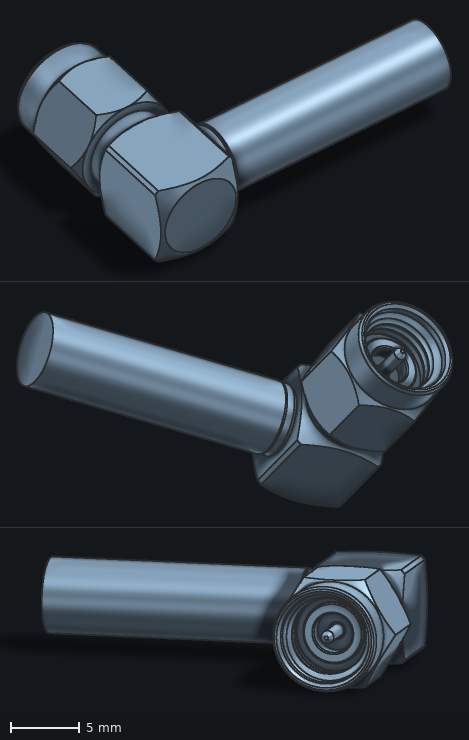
import cadquery as cq
import math

TAN30 = math.tan(math.radians(30))

TOTAL_LENGTH = 17.5
HEX_START = 2.42
HEX_END = 8.35
BLOCK_START = 9.6

HEX_FLATS = 8.0
HEX_CORNER_RADIUS = HEX_FLATS / 2 / math.cos(math.radians(30))
SHELL_RADIUS = 3.9
LIP_CHAMFER_LENGTH = 0.25
LIP_RADIUS = SHELL_RADIUS - LIP_CHAMFER_LENGTH * TAN30

MOUTH_RADIUS = 3.58
BORE_RADIUS = 3.33
BORE_END = 0.8
CAVITY_FLOOR = 3.18
THREAD_MINOR_RADIUS = 2.79
THREAD_DEPTH = 0.48
THREAD_PITCH = 0.7
THREAD_START = 0.25
THREAD_TURNS = 5
GROOVE_OVERCUT = 0.05
WEB_RADIUS = THREAD_MINOR_RADIUS + THREAD_DEPTH + GROOVE_OVERCUT

BARREL_RADIUS = 2.27
BARREL_BORE_RADIUS = 1.45
BARREL_CHAMFER = 0.1
BARREL_FRONT = 2.7
BARREL_BORE_FLOOR = 3.98
PIN_RADIUS = 0.48
PIN_TIP_RADIUS = 0.15
PIN_FRONT = 0.68
PIN_TIP_LENGTH = 0.4
PIN_RECESS_RADIUS = 0.65
PIN_RECESS_DEPTH = 0.15
PIN_RECESS_CHAMFER = 0.09

NECK_RADIUS = 3.25
BLOCK_SIDE = 6.95
BLOCK_EDGE_CHAMFER = 0.28
BLOCK_END_RADIUS = 3.2

OUTLET_X = 13.13
COLLAR_RADIUS = 2.75
COLLAR_END_RADIUS = 2.6
COLLAR_NECK_CONE = 0.28
COLLAR_SLEEVE_CONE = 0.17
SLEEVE_START = 4.52
SLEEVE_RADIUS = 2.8
SLEEVE_END = 28.42 - HEX_CORNER_RADIUS


def revolve_about_x(profile):
    """Turn a closed list of (x, radius) points about the connector axis."""
    return cq.Workplane("XY").polyline(profile).close().revolve(360, (0, 0), (1, 0))


def coned_bar_limit(start, end, start_radius, end_radius, start_slope, end_slope, reach):
    """Turned envelope whose two ends are cones that open out to the radius `reach`."""
    return revolve_about_x([
        (start, 0),
        (start, start_radius),
        (start + (reach - start_radius) * start_slope, reach),
        (end - (reach - end_radius) * end_slope, reach),
        (end, end_radius),
        (end, 0),
    ])


def make_nut_outside():
    shell = revolve_about_x([
        (0, 0),
        (0, LIP_RADIUS),
        (LIP_CHAMFER_LENGTH, SHELL_RADIUS),
        (HEX_START, SHELL_RADIUS),
        (HEX_START, 0),
    ])
    hexagon = (
        cq.Workplane("YZ", origin=(HEX_START, 0, 0))
        .polygon(6, 2 * HEX_CORNER_RADIUS)
        .extrude(HEX_END - HEX_START)
    )
    cones = coned_bar_limit(
        HEX_START, HEX_END, SHELL_RADIUS, HEX_FLATS / 2, 1, 1, HEX_CORNER_RADIUS + 0.28
    )
    return shell.union(hexagon.intersect(cones))


def make_nut_mouth():
    """Mouth chamfer, plain bore and the cone that leads into the thread."""
    lead_in_end = BORE_END + BORE_RADIUS - THREAD_MINOR_RADIUS
    return revolve_about_x([
        (0, 0),
        (0, MOUTH_RADIUS),
        (MOUTH_RADIUS - BORE_RADIUS, BORE_RADIUS),
        (BORE_END, BORE_RADIUS),
        (lead_in_end, THREAD_MINOR_RADIUS),
        (lead_in_end, 0),
    ])


def make_tapping_bore():
    return cq.Workplane("YZ").circle(THREAD_MINOR_RADIUS).extrude(HEX_END)


def make_thread_groove():
    """Right-handed 60 degree V groove, swept along Z, then laid along X."""
    inner_radius = THREAD_MINOR_RADIUS - GROOVE_OVERCUT
    half_width = (THREAD_DEPTH + GROOVE_OVERCUT) * TAN30
    helix = cq.Wire.makeHelix(THREAD_PITCH, THREAD_TURNS * THREAD_PITCH, THREAD_MINOR_RADIUS)
    return (
        cq.Workplane("XZ")
        .polyline([
            (inner_radius, -half_width),
            (THREAD_MINOR_RADIUS + THREAD_DEPTH, 0),
            (inner_radius, half_width),
        ])
        .close()
        .sweep(cq.Workplane(helix), isFrenet=True)
        .rotate((0, 0, 0), (0, 1, 0), 90)
        .translate((THREAD_START, 0, 0))
    )


def make_contact():
    """Web that closes the tapped bore, with the bored barrel and the centre pin standing out of it."""
    root = BARREL_BORE_FLOOR + PIN_RECESS_DEPTH
    return revolve_about_x([
        (PIN_FRONT, 0),
        (PIN_FRONT, PIN_TIP_RADIUS),
        (PIN_FRONT + PIN_TIP_LENGTH, PIN_RADIUS),
        (root, PIN_RADIUS),
        (root, PIN_RECESS_RADIUS - PIN_RECESS_CHAMFER),
        (BARREL_BORE_FLOOR + PIN_RECESS_CHAMFER, PIN_RECESS_RADIUS - PIN_RECESS_CHAMFER),
        (BARREL_BORE_FLOOR, PIN_RECESS_RADIUS),
        (BARREL_BORE_FLOOR, BARREL_BORE_RADIUS),
        (BARREL_FRONT + BARREL_CHAMFER, BARREL_BORE_RADIUS),
        (BARREL_FRONT, BARREL_BORE_RADIUS + BARREL_CHAMFER),
        (BARREL_FRONT, BARREL_RADIUS - BARREL_CHAMFER),
        (BARREL_FRONT + BARREL_CHAMFER, BARREL_RADIUS),
        (CAVITY_FLOOR, BARREL_RADIUS),
        (CAVITY_FLOOR, WEB_RADIUS),
        (HEX_END, WEB_RADIUS),
        (HEX_END, 0),
    ])


def make_block():
    length = TOTAL_LENGTH - BLOCK_START
    block = (
        cq.Workplane("YZ", origin=(BLOCK_START, 0, 0))
        .rect(BLOCK_SIDE, BLOCK_SIDE)
        .extrude(length)
        .edges("|X")
        .chamfer(BLOCK_EDGE_CHAMFER)
    )
    cones = coned_bar_limit(
        BLOCK_START, TOTAL_LENGTH, BLOCK_END_RADIUS, BLOCK_END_RADIUS, TAN30, TAN30, BLOCK_SIDE
    )
    return block.intersect(cones)


def make_neck():
    return cq.Workplane("YZ", origin=(HEX_END, 0, 0)).circle(NECK_RADIUS).extrude(BLOCK_START - HEX_END)


def make_collar():
    """Round collar, coned at both ends, standing on the block and rooted on the connector axis."""
    block_face = BLOCK_SIDE / 2
    profile = [
        (0, 0),
        (COLLAR_END_RADIUS, 0),
        (COLLAR_END_RADIUS, block_face),
        (COLLAR_RADIUS, block_face + COLLAR_NECK_CONE),
        (COLLAR_RADIUS, SLEEVE_START - COLLAR_SLEEVE_CONE),
        (COLLAR_END_RADIUS, SLEEVE_START),
        (0, SLEEVE_START),
    ]
    return cq.Workplane("XY", origin=(OUTLET_X, 0, 0)).polyline(profile).close().revolve(360, (0, 0), (0, 1))


def make_sleeve():
    length = SLEEVE_END - SLEEVE_START
    return cq.Workplane("XZ", origin=(OUTLET_X, SLEEVE_START, 0)).circle(SLEEVE_RADIUS).extrude(-length)


def make_connector():
    nut = make_nut_outside().cut(make_tapping_bore()).cut(make_thread_groove()).cut(make_nut_mouth())
    nut = nut.union(make_contact())
    return nut.union(make_neck()).union(make_block()).union(make_collar())


connector = make_connector()
sleeve = make_sleeve()

result = cq.Compound.makeCompound([connector.val(), sleeve.val()])